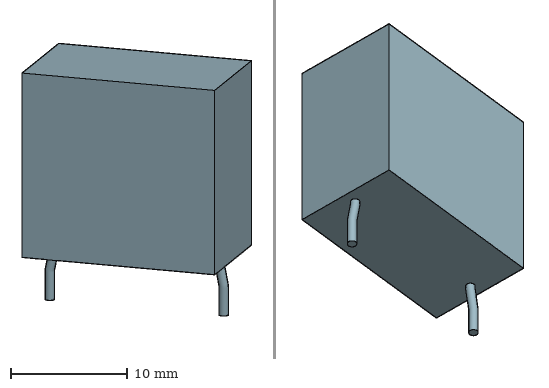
import cadquery as cq
import math

BODY_LENGTH = 17.5
BODY_WIDTH = 10.01
BODY_HEIGHT = 16.5

LEAD_DIAMETER = 0.82
LEAD_LENGTH = 4.99
EXIT_SPACING = 15.0
EXIT_LENGTH = 0.25
TIP_LENGTH = 2.5
BEND_RADIUS = 1.0
KINK_ANGLE = math.radians(11.0)


def make_body():
    return cq.Workplane("XY").box(
        BODY_LENGTH, BODY_WIDTH, BODY_HEIGHT, centered=(True, True, False)
    )


def make_lead(side):
    """Lead on the +X (side = 1) or -X (side = -1) end, sloping outward as it goes down."""
    bend_shift = BEND_RADIUS * (1 - math.cos(KINK_ANGLE))
    bend_drop = BEND_RADIUS * math.sin(KINK_ANGLE)
    mid_shift = BEND_RADIUS * (1 - math.cos(KINK_ANGLE / 2))
    mid_drop = BEND_RADIUS * math.sin(KINK_ANGLE / 2)

    slope_drop = LEAD_LENGTH - EXIT_LENGTH - TIP_LENGTH - 2 * bend_drop
    slope_shift = slope_drop * math.tan(KINK_ANGLE)

    exit_x = EXIT_SPACING / 2
    tip_x = exit_x + 2 * bend_shift + slope_shift
    upper_bend_z = -EXIT_LENGTH
    lower_bend_z = TIP_LENGTH - LEAD_LENGTH

    centreline = (
        cq.Workplane("XZ")
        .moveTo(side * exit_x, 0)
        .lineTo(side * exit_x, upper_bend_z)
        .threePointArc(
            (side * (exit_x + mid_shift), upper_bend_z - mid_drop),
            (side * (exit_x + bend_shift), upper_bend_z - bend_drop),
        )
        .lineTo(side * (tip_x - bend_shift), lower_bend_z + bend_drop)
        .threePointArc(
            (side * (tip_x - mid_shift), lower_bend_z + mid_drop),
            (side * tip_x, lower_bend_z),
        )
        .lineTo(side * tip_x, -LEAD_LENGTH)
    )
    section_plane = cq.Plane(origin=(side * exit_x, 0, 0), xDir=(-1, 0, 0), normal=(0, 0, -1))
    return cq.Workplane(section_plane).circle(LEAD_DIAMETER / 2).sweep(centreline)


body = make_body()
leads = [make_lead(side) for side in (-1, 1)]

result = cq.Compound.makeCompound([body.val(), *[lead.val() for lead in leads]])